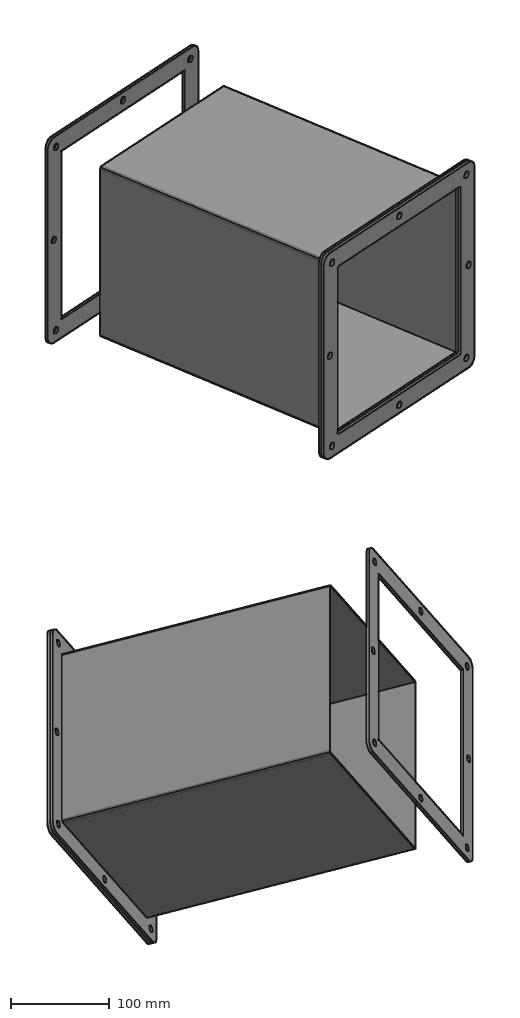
import cadquery as cq

overall_length = 362.0
loose_frame_thickness = 3.3
duct_start = 54.3
inner_flange_thickness = 3.0
outer_flange_thickness = 3.5

duct_inner_size = 200.0
sheet_thickness = 1.5
duct_outer_size = duct_inner_size + 2 * sheet_thickness
duct_outer_radius = 2 * sheet_thickness

frame_size = 244.5
frame_corner_radius = 9.8
flange_opening_radius = duct_outer_radius
corner_hole_pitch = 218.3
middle_hole_pitch = 225.0
hole_diameter = 7.2

outer_flange_start = overall_length - outer_flange_thickness
inner_flange_start = outer_flange_start - inner_flange_thickness
duct_length = inner_flange_start - duct_start


def square_bar(size, start, length, corner_radius=0):
    """Square prism along +X, centred on the duct axis, with optional rounded long edges."""
    bar = cq.Workplane("YZ", origin=(start, 0, 0)).rect(size, size).extrude(length)
    if corner_radius > 0:
        bar = bar.edges("|X").fillet(corner_radius)
    return bar


def bolt_holes(start, length):
    """Four corner holes, and four mid-side holes set slightly further out."""
    corner = corner_hole_pitch / 2
    middle = middle_hole_pitch / 2
    centres = [(y, z) for y in (-corner, corner) for z in (-corner, corner)]
    centres += [(-middle, 0), (middle, 0), (0, -middle), (0, middle)]
    holes = cq.Workplane("YZ", origin=(start, 0, 0)).pushPoints(centres)
    return holes.circle(hole_diameter / 2).extrude(length)


def make_frame(start, thickness, opening_radius=0):
    """Flat square frame with rounded outer corners, a duct opening and bolt holes."""
    plate = square_bar(frame_size, start, thickness, frame_corner_radius)
    opening = square_bar(duct_inner_size, start, thickness, opening_radius)
    return plate.cut(opening).cut(bolt_holes(start, thickness)).solids()


def make_duct():
    """Open-ended duct, rounded outside and sharp inside, butting against the inner flange."""
    outside = square_bar(duct_outer_size, duct_start, duct_length, duct_outer_radius)
    inside = square_bar(duct_inner_size, duct_start, duct_length)
    return outside.cut(inside).solids()


loose_frame = make_frame(0, loose_frame_thickness)
duct = make_duct()

inner_flange = make_frame(inner_flange_start, inner_flange_thickness, flange_opening_radius)
outer_flange = make_frame(outer_flange_start, outer_flange_thickness, flange_opening_radius)

result = cq.Compound.makeCompound(
    [loose_frame.val(), duct.val(), inner_flange.val(), outer_flange.val()]
)